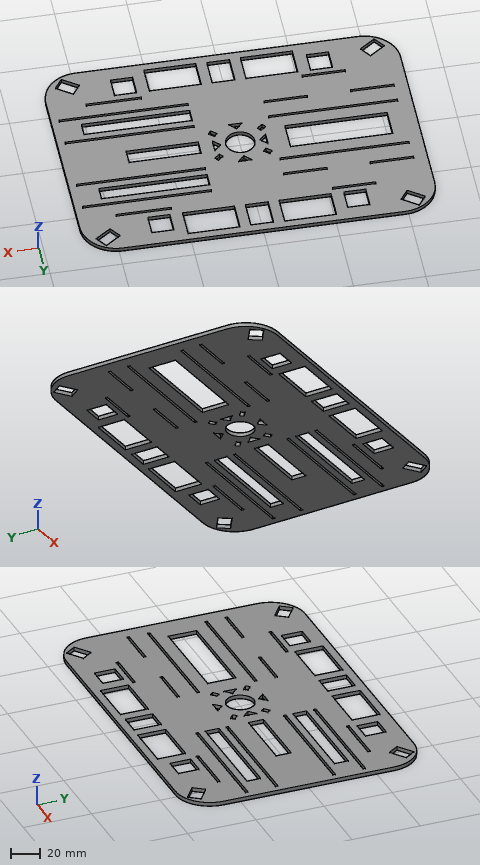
import cadquery as cq
import math

length = 245.0
width = 175.0
thickness = 3.0
corner_radius = 25.0

slot_width = 1.7
short_slot = 30.0
medium_slot = 38.2
long_slot = 89.0
inner_slot_y = 21.0
left_middle_slot_y = 36.0
left_outer_slot_y = 56.0
right_middle_slot_y = 43.0
right_outer_slot_y = 55.1
right_outer_slot_x = 77.0

left_group_x = -68.0
right_group_start = 28.0

edge_row_start = 61.0
middle_window_length = 15.7
middle_window_width = 20.0
wide_window_x = 33.3
wide_window_length = 35.8
wide_window_width = 20.5
square_window_x = 67.5
square_window = 15.2

left_window_length = 70.5
left_window_width = 20.8
right_window_length = 49.7
right_window_width = 11.0
side_window_y = 32.0
side_window_length = 74.7
side_window_width = 10.0

diagonal_angle = math.degrees(math.atan2(width, length))
corner_window_distance = 129.4
corner_window_length = 13.5
corner_window_width = 9.5

hub_hole_diameter = 20.0
triangle_tip_radius = 13.5
triangle_base_radius = 18.4
triangle_base_length = 9.3
hub_slot_x = 17.0
hub_slot_y = 11.8
hub_slot_length = 5.0
hub_slot_width = 3.2
hub_slot_angle = 40.0


def window(x, y, size_x, size_y, angle=0.0):
    """Rectangular cutter centred on (x, y), turned about its own centre."""
    block = cq.Workplane("XY").box(size_x, size_y, 2 * thickness)
    return block.rotate((0, 0, 0), (0, 0, 1), angle).translate((x, y, 0))


def window_pair(x, y, size_x, size_y):
    """Two equal cutters, one on each side of the X axis."""
    return [window(x, side * y, size_x, size_y) for side in (1, -1)]


def tilted_windows(x, y, size_x, size_y, angle):
    """Four equal cutters, mirrored about both the X and the Y axis."""
    cutters = []
    for side_x in (1, -1):
        for side_y in (1, -1):
            cutters.append(window(side_x * x, side_y * y, size_x, size_y, side_x * side_y * angle))
    return cutters


def strap_slots():
    right_group_x = right_group_start + long_slot / 2
    slots = [
        (left_group_x, inner_slot_y, long_slot),
        (left_group_x - short_slot, left_middle_slot_y, short_slot),
        (left_group_x + short_slot, left_middle_slot_y, short_slot),
        (left_group_x, left_outer_slot_y, short_slot),
        (right_group_x, inner_slot_y, long_slot),
        (right_group_x, right_middle_slot_y, long_slot),
        (right_outer_slot_x, right_outer_slot_y, medium_slot),
    ]
    cutters = []
    for x, y, slot_length in slots:
        cutters += window_pair(x, y, slot_length, slot_width)
    return cutters


def edge_windows():
    row = [
        (0.0, middle_window_length, middle_window_width),
        (wide_window_x, wide_window_length, wide_window_width),
        (-wide_window_x, wide_window_length, wide_window_width),
        (square_window_x, square_window, square_window),
        (-square_window_x, square_window, square_window),
    ]
    cutters = []
    for x, size_x, size_y in row:
        cutters += window_pair(x, edge_row_start + size_y / 2, size_x, size_y)
    return cutters


def large_windows():
    left = window(left_group_x, 0, left_window_length, left_window_width)
    right_x = right_group_start + right_window_length / 2
    right = window(right_x, 0, right_window_length, right_window_width)
    side_x = right_group_start + side_window_length / 2
    return [left, right] + window_pair(side_x, side_window_y, side_window_length, side_window_width)


def corner_windows():
    x = corner_window_distance * math.cos(math.radians(diagonal_angle))
    y = corner_window_distance * math.sin(math.radians(diagonal_angle))
    return tilted_windows(x, y, corner_window_length, corner_window_width, diagonal_angle)


def hub_triangles():
    triangle = (
        cq.Workplane("XY")
        .moveTo(triangle_tip_radius, 0)
        .lineTo(triangle_base_radius, triangle_base_length / 2)
        .lineTo(triangle_base_radius, -triangle_base_length / 2)
        .close()
        .extrude(thickness, both=True)
    )
    return [triangle.rotate((0, 0, 0), (0, 0, 1), angle) for angle in (0, 90, 180, 270)]


def hub_openings():
    hole = cq.Workplane("XY").circle(hub_hole_diameter / 2).extrude(thickness, both=True)
    slots = tilted_windows(hub_slot_x, hub_slot_y, hub_slot_length, hub_slot_width, hub_slot_angle)
    return [hole] + hub_triangles() + slots


plate = cq.Workplane("XY").box(length, width, thickness).edges("|Z").fillet(corner_radius)
for cutter in strap_slots() + edge_windows() + large_windows() + corner_windows() + hub_openings():
    plate = plate.cut(cutter)

result = plate